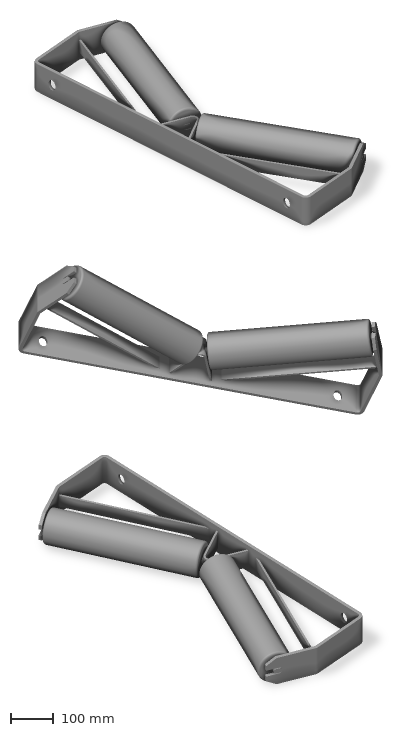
import cadquery as cq
import math


SIDES = (-1, 1)

FRAME_LENGTH = 840.0
STRIP_WIDTH = 80.0
FRAME_THICKNESS = 8.0
CORNER_INNER_RADIUS = 8.0
ARM_BEND_Y = 162.0
ARM_BEND_INNER_RADIUS = 4.0
ARM_LENGTH = 127.0
ARM_CHAMFER_LENGTH = 26.0
ARM_CHAMFER_WIDTH = 17.0
MOUNT_HOLE_X = 359.0
MOUNT_HOLE_WIDTH = 21.0
MOUNT_HOLE_HEIGHT = 28.5

TILT = 25.0
ROLLER_DIAMETER = 89.0
ROLLER_LENGTH = 380.5
ROLLER_FILLET = 5.0
ARM_GAP = 5.0
BRACKET_GAP = 5.0
SHAFT_DIAMETER = 20.0
SHAFT_FLATS = 13.0
SHAFT_TO_ARM_TIP = 29.0

SLOT_WIDTH = 18.0
SLOT_CORNER_RADIUS = 7.0

BRACKET_WIDTH = 50.0
BRACKET_THICKNESS = 5.0
BRACKET_OUTER_RADIUS = 15.0
BRACE_THICKNESS = 5.0
BRACE_WIDTH = 34.0
BRACE_FOOT_X = 76.0

SIN_TILT = math.sin(math.radians(TILT))
COS_TILT = math.cos(math.radians(TILT))
TAN_TILT = SIN_TILT / COS_TILT
HALF_LENGTH = FRAME_LENGTH / 2
SHAFT_RADIUS = SHAFT_DIAMETER / 2
SHAFT_ALONG_ARM = ARM_LENGTH - SHAFT_TO_ARM_TIP


def from_arm(side, along_arm, inward):
    """XY point measured from the arm's bend, along the arm and square to its outer face."""
    x = -HALF_LENGTH + along_arm * SIN_TILT + inward * COS_TILT
    y = ARM_BEND_Y + along_arm * COS_TILT - inward * SIN_TILT
    return (-side * x, y)


def arm_plane(side, inward):
    """Plane square to the roller axis, centred on it: local X up the arm, local Z inward."""
    x, y = from_arm(side, SHAFT_ALONG_ARM, inward)
    return cq.Plane(
        origin=(x, y, 0),
        xDir=(-side * SIN_TILT, COS_TILT, 0),
        normal=(-side * COS_TILT, -SIN_TILT, 0),
    )


def plate(points, width):
    """Flat outline in XY, extruded evenly to both sides of Z = 0."""
    return cq.Workplane("XY").polyline(points).close().extrude(width / 2, both=True)


def round_corner(body, point, radius):
    """Round the upright edge nearest to an XY point."""
    nearest = cq.selectors.NearestToPointSelector((*point, 0))
    return body.edges("|Z").edges(nearest).fillet(radius)


def slot_cutter(side, inward, depth):
    """Cutter for a shaft slot that runs from under the shaft up past the strip's tip."""
    plane = arm_plane(side, inward)
    return (
        cq.Workplane(plane)
        .center(ARM_LENGTH / 2 - SHAFT_RADIUS, 0)
        .rect(ARM_LENGTH, SLOT_WIDTH)
        .extrude(depth)
        .edges(cq.selectors.ParallelDirSelector(plane.zDir))
        .fillet(SLOT_CORNER_RADIUS)
    )


ROLLER_START = FRAME_THICKNESS + ARM_GAP
ROLLER_END = ROLLER_START + ROLLER_LENGTH
BRACKET_FACE = ROLLER_END + BRACKET_GAP
SHAFT_LENGTH = BRACKET_FACE + BRACKET_THICKNESS


def make_frame():
    """Strip bent into a base, two side walls and two arms that lean in square to the rollers."""
    inner_x = HALF_LENGTH - FRAME_THICKNESS
    inner_bend_y = ARM_BEND_Y - FRAME_THICKNESS * math.tan(math.radians(TILT / 2))

    outer_half = [(HALF_LENGTH, 0), (HALF_LENGTH, ARM_BEND_Y), from_arm(1, ARM_LENGTH, 0)]
    inner_half = [
        from_arm(1, ARM_LENGTH, FRAME_THICKNESS),
        (inner_x, inner_bend_y),
        (inner_x, FRAME_THICKNESS),
    ]
    right_half = outer_half + inner_half
    left_half = [(-x, y) for x, y in reversed(right_half)]
    frame = plate(right_half + left_half, STRIP_WIDTH)

    for side in SIDES:
        bends = [
            ((side * inner_x, FRAME_THICKNESS), (side * HALF_LENGTH, 0), CORNER_INNER_RADIUS),
            ((side * inner_x, inner_bend_y), (side * HALF_LENGTH, ARM_BEND_Y), ARM_BEND_INNER_RADIUS),
        ]
        for inner_point, outer_point, inner_radius in bends:
            frame = round_corner(frame, inner_point, inner_radius)
            frame = round_corner(frame, outer_point, inner_radius + FRAME_THICKNESS)
        frame = frame.cut(arm_tip_chamfers(side)).cut(slot_cutter(side, 0, FRAME_THICKNESS))

    mount_holes = (
        cq.Workplane("XZ")
        .pushPoints([(side * MOUNT_HOLE_X, 0) for side in SIDES])
        .ellipse(MOUNT_HOLE_WIDTH / 2, MOUNT_HOLE_HEIGHT / 2)
        .extrude(-FRAME_THICKNESS)
    )
    return frame.cut(mount_holes)


def arm_tip_chamfers(side):
    """Two triangular prisms that bevel the arm's tip at its upper and lower edges."""
    edge_z = STRIP_WIDTH / 2
    cutter = cq.Workplane(arm_plane(side, 0))
    for up in (-1, 1):
        cutter = (
            cutter.moveTo(SHAFT_TO_ARM_TIP, up * edge_z)
            .lineTo(SHAFT_TO_ARM_TIP - ARM_CHAMFER_LENGTH, up * edge_z)
            .lineTo(SHAFT_TO_ARM_TIP, up * (edge_z - ARM_CHAMFER_WIDTH))
            .close()
        )
    return cutter.extrude(FRAME_THICKNESS)


def make_roller(side):
    """Roller shell on a shaft whose ends are flattened where they sit in the slots."""
    shell = (
        cq.Workplane(arm_plane(side, ROLLER_START))
        .circle(ROLLER_DIAMETER / 2)
        .extrude(ROLLER_LENGTH)
        .edges()
        .fillet(ROLLER_FILLET)
    )
    shaft = (
        cq.Workplane(arm_plane(side, FRAME_THICKNESS))
        .circle(SHAFT_RADIUS)
        .extrude(BRACKET_FACE - FRAME_THICKNESS)
    )
    flat_bar = cq.Workplane(arm_plane(side, 0)).rect(SHAFT_DIAMETER, SHAFT_FLATS).extrude(SHAFT_LENGTH)
    flatted_shaft = (
        cq.Workplane(arm_plane(side, 0)).circle(SHAFT_RADIUS).extrude(SHAFT_LENGTH).intersect(flat_bar)
    )
    return shell.union(shaft).union(flatted_shaft)


def make_bracket():
    """Strip folded into an inverted V that stands on the base between the rollers."""
    face_x, face_y = from_arm(1, SHAFT_ALONG_ARM, BRACKET_FACE)
    outer_apex_y = face_y + face_x / TAN_TILT
    inner_apex_y = outer_apex_y - BRACKET_THICKNESS / SIN_TILT
    base_y = FRAME_THICKNESS
    outer_foot_x = (outer_apex_y - base_y) * TAN_TILT
    inner_foot_x = (inner_apex_y - base_y) * TAN_TILT

    bracket = plate(
        [
            (-outer_foot_x, base_y),
            (0, outer_apex_y),
            (outer_foot_x, base_y),
            (inner_foot_x, base_y),
            (0, inner_apex_y),
            (-inner_foot_x, base_y),
        ],
        BRACKET_WIDTH,
    )
    bracket = round_corner(bracket, (0, inner_apex_y), BRACKET_OUTER_RADIUS - BRACKET_THICKNESS)
    bracket = round_corner(bracket, (0, outer_apex_y), BRACKET_OUTER_RADIUS)
    for side in SIDES:
        bracket = bracket.cut(slot_cutter(side, BRACKET_FACE, BRACKET_THICKNESS))
    return bracket


def make_brace(side, frame):
    """Flat bar parallel to the roller, from the arm bend down to the frame's base."""
    base_y = FRAME_THICKNESS
    end_x = HALF_LENGTH - FRAME_THICKNESS / 2
    top_y = base_y + (end_x - BRACE_FOOT_X) * TAN_TILT
    outline = [
        (BRACE_FOOT_X, base_y),
        (end_x, top_y),
        (end_x, top_y - BRACE_THICKNESS / COS_TILT),
        (BRACE_FOOT_X + BRACE_THICKNESS / SIN_TILT, base_y),
    ]
    return plate([(side * x, y) for x, y in outline], BRACE_WIDTH).cut(frame)


frame = make_frame()
bracket = make_bracket()
rollers = [make_roller(side) for side in SIDES]
braces = [make_brace(side, frame) for side in SIDES]

result = cq.Compound.makeCompound(
    [
        frame.val(),
        bracket.val(),
        *[roller.val() for roller in rollers],
        *[brace.val() for brace in braces],
    ]
)